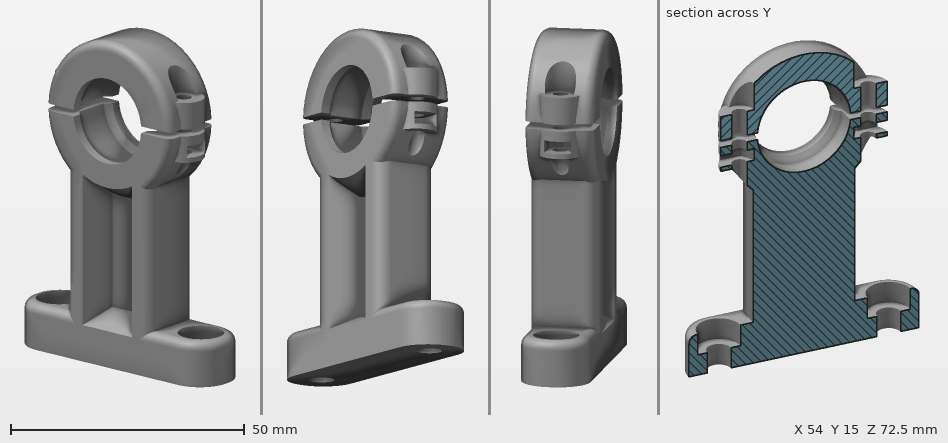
import cadquery as cq
import math

total_height = 72.5
depth = 15.0
ring_radius = 17.55
ring_center_z = total_height - ring_radius
bore_radius = 9.5
groove_depth = 1.4
bore_lip_width = 2.1
split_gap = 1.5
edge_fillet = 1.95

ear_x = 15.1
ear_radius = 4.5
ear_reach = 6.7
screw_hole_diameter = 3.5
screw_head_radius = 3.3
nut_width = 5.8
nut_corner_radius = nut_width / math.sqrt(3)
nut_slot_height = 2.7
nut_slot_offset = 2.9

foot_length = 54.0
foot_height = 10.0
foot_corner_radius = 7.1
foot_hole_x = foot_length / 2 - foot_corner_radius
foot_hole_diameter = 5.5
foot_counterbore_diameter = 10.0
foot_counterbore_depth = 5.0

column_width = 23.9
column_corner_radius = 3.0
column_top_z = ring_center_z - bore_radius

pocket_half_width = 6.95
pocket_floor_z = 8.1
pocket_top_radius = 14.85
pocket_depth = 5.9
pocket_taper = 30

both_sides = (-1, 1)


def cylinder_y(radius, length):
    """Cylinder on the bore axis, centred on the XZ plane."""
    return (
        cq.Workplane("XZ", origin=(0, 0, ring_center_z))
        .circle(radius)
        .extrude(length / 2, both=True)
    )


def cylinder_z(x, radius, bottom, top):
    """Vertical cylinder between two heights."""
    return cq.Workplane("XY", origin=(x, 0, bottom)).circle(radius).extrude(top - bottom)


def make_ring():
    return cylinder_y(ring_radius, depth).edges().fillet(edge_fillet)


def make_bore():
    """Bore with a trapezoidal groove between its two end lips."""
    groove_half_width = depth / 2 - bore_lip_width
    groove_radius = bore_radius + groove_depth
    floor_half_width = groove_half_width - groove_depth
    profile = (
        cq.Workplane("YZ", origin=(0, 0, ring_center_z))
        .moveTo(-depth / 2, 0)
        .lineTo(-depth / 2, bore_radius)
        .lineTo(-groove_half_width, bore_radius)
        .lineTo(-floor_half_width, groove_radius)
        .lineTo(floor_half_width, groove_radius)
        .lineTo(groove_half_width, bore_radius)
        .lineTo(depth / 2, bore_radius)
        .lineTo(depth / 2, 0)
        .close()
    )
    return profile.revolve(360, (0, 0, 0), (1, 0, 0))


def make_half_space(bottom, top):
    """Block wider than the part, used to keep one half of the ring."""
    return (
        cq.Workplane("XY", origin=(0, 0, bottom))
        .rect(foot_length, 2 * depth)
        .extrude(top - bottom)
    )


def make_foot():
    foot = (
        cq.Workplane("XY")
        .rect(foot_length, depth)
        .extrude(foot_height)
        .edges("|Z")
        .fillet(foot_corner_radius)
        .faces(">Z")
        .edges()
        .fillet(edge_fillet)
    )
    return foot


def make_column():
    return (
        cq.Workplane("XY")
        .rect(column_width, depth)
        .extrude(column_top_z)
        .edges("|Z")
        .fillet(column_corner_radius)
    )


def make_pocket():
    """Pocket in the -Y face, its top edge an arc around the bore axis."""
    corner_z = ring_center_z - math.sqrt(pocket_top_radius**2 - pocket_half_width**2)
    return (
        cq.Workplane("XZ", origin=(0, -depth / 2, 0))
        .moveTo(-pocket_half_width, pocket_floor_z)
        .lineTo(pocket_half_width, pocket_floor_z)
        .lineTo(pocket_half_width, corner_z)
        .threePointArc((0, ring_center_z - pocket_top_radius), (-pocket_half_width, corner_z))
        .close()
        .extrude(-pocket_depth, taper=pocket_taper)
    )


def make_nut_slot(side):
    """Hexagonal nut seat, one corner pointing inward, open to the outside of the ear."""
    bottom = ring_center_z - nut_slot_offset - nut_slot_height
    nut = (
        cq.Workplane("XY", origin=(side * ear_x, 0, bottom))
        .polygon(6, 2 * nut_corner_radius)
        .extrude(nut_slot_height)
    )
    entry = (
        cq.Workplane("XY", origin=(side * (ear_x + ear_radius / 2), 0, bottom))
        .rect(ear_radius, nut_width)
        .extrude(nut_slot_height)
    )
    return nut.union(entry)


def make_cap():
    bottom = ring_center_z + split_gap / 2
    ear_top = ring_center_z + ear_reach
    cap = make_ring().intersect(make_half_space(bottom, total_height))
    for side in both_sides:
        cap = cap.union(cylinder_z(side * ear_x, ear_radius, bottom, ear_top))
    cap = cap.cut(make_bore())
    for side in both_sides:
        cap = cap.cut(cylinder_z(side * ear_x, screw_head_radius, ear_top, total_height))
        cap = cap.cut(cylinder_z(side * ear_x, screw_hole_diameter / 2, bottom, total_height))
    return cap


def make_pedestal():
    top = ring_center_z - split_gap / 2
    ear_bottom = ring_center_z - ear_reach
    pedestal = make_foot().union(make_column())
    pedestal = pedestal.union(make_ring().intersect(make_half_space(0, top)))
    for side in both_sides:
        pedestal = pedestal.union(cylinder_z(side * ear_x, ear_radius, ear_bottom, top))
    pedestal = pedestal.cut(make_bore())
    pocket = make_pocket()
    pedestal = pedestal.cut(pocket).cut(pocket.mirror("XZ"))
    counterbore_floor = foot_height - foot_counterbore_depth
    for side in both_sides:
        pedestal = pedestal.cut(cylinder_z(side * ear_x, screw_hole_diameter / 2, foot_height, top))
        pedestal = pedestal.cut(make_nut_slot(side))
        hole_x = side * foot_hole_x
        pedestal = pedestal.cut(cylinder_z(hole_x, foot_hole_diameter / 2, 0, foot_height))
        pedestal = pedestal.cut(
            cylinder_z(hole_x, foot_counterbore_diameter / 2, counterbore_floor, foot_height)
        )
    return pedestal


cap = make_cap()
pedestal = make_pedestal()

result = cq.Compound.makeCompound([cap.val(), pedestal.val()])